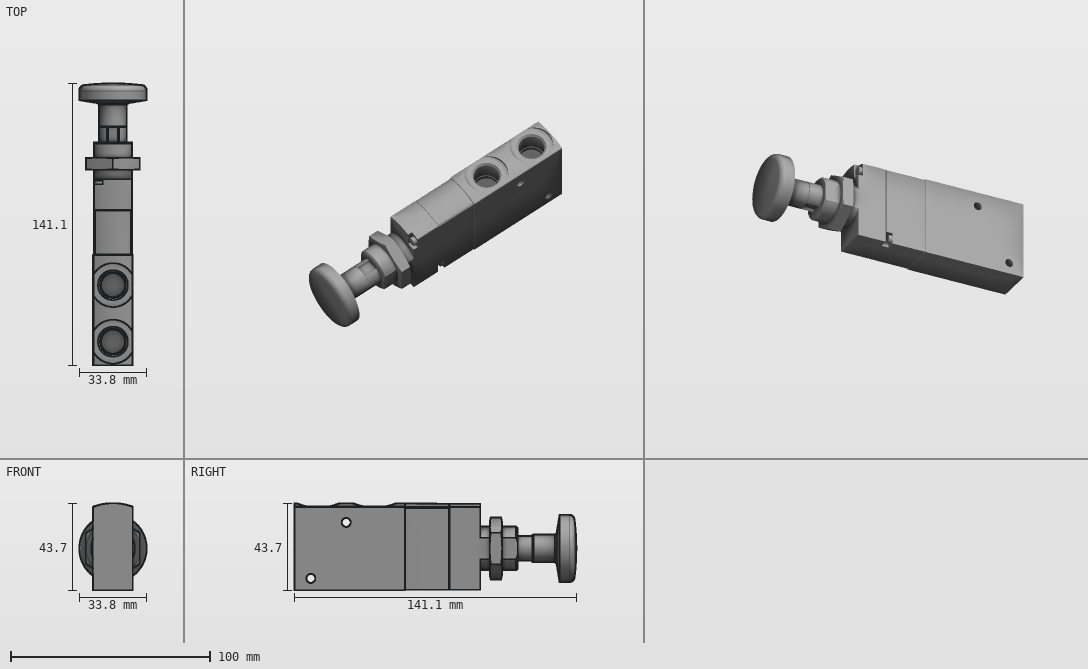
import cadquery as cq
import math


body_length = 55.45
adapter_end = 77.3
cap_end = 93.0
nut_start = 97.7
bushing_end = 111.6
knob_start = 119.0
neck_flare_start = 130.3
rim_start = 132.6
knob_end = 141.09

body_width = 20.0
body_bottom = -21.0
body_shoulder = 21.0
crown_rise = 1.72
body_crown = body_shoulder + crown_rise
port_positions = [11.8, 40.1]
port_diameter = 13.0
port_bottom_diameter = 12.02
port_step_depth = 10.0
port_mouth_diameter = 15.0
port_depth = 12.0
spotface_diameter = 22.0
mount_hole_diameter = 4.4
mount_holes = [(8.2, -15.0), (25.9, 13.0)]

cap_width = 19.15
cap_bottom = -20.75
cap_shoulder = 20.9
cap_crown = 22.4
bushing_diameter = 22.0
bushing_chamfer = 0.8
adapter_edge_chamfer = 0.7
adapter_near_width = 19.3

shoulder_chamfer = 0.3
joint_chamfer = 0.4

nut_width = 27.0
nut_thickness = 6.15
nut_bevel_diameter = 26.8
nut_bevel_angle = 12.0
nut_corner_angle = 30.0

stem_diameter = 14.0
stem_tail = 5.0
slot_mouth_width = 6.4
slot_floor_width = 4.8
slot_floor_height = 5.0

knob_diameter = 33.84
knob_neck_diameter = stem_diameter
dome_rise = 1.25
dome_fillet = 2.8
underside_rise = 1.5
neck_flare = 0.8
knob_end_taper_length = 0.6
knob_end_taper_depth = 0.2

notch_wall = 5.0
cap_notch_length = 2.5
cap_notch_floor = 13.9
adapter_notch_length = 3.6
adapter_notch_roof = -14.9
screw_head_diameter = 4.4
screw_head_height = 1.9
screw_x = -notch_wall - screw_head_diameter / 2
screw_height = 17.4


def crowned_section(y, width, bottom, shoulder, crown, chamfer):
    """Upright XZ section at the given Y, with an arched top and chamfered shoulders."""
    half = width / 2
    section = cq.Workplane("XZ", origin=(0, y, 0)).moveTo(-half, bottom).lineTo(half, bottom)
    section = section.lineTo(half, shoulder - chamfer)
    section = section.lineTo(half - chamfer, shoulder)
    section = section.threePointArc((0, crown), (chamfer - half, shoulder))
    return section.lineTo(-half, shoulder - chamfer).close()


def rod(diameter, start, end, x=0.0, z=0.0):
    """Cylinder along Y between two stations."""
    return cq.Workplane("XZ", origin=(x, start, z)).circle(diameter / 2).extrude(start - end)


def block(x_range, y_range, z_range):
    """Axis-aligned box given by its limits."""
    corner = (x_range[0], y_range[0], z_range[0])
    sizes = [high - low for low, high in (x_range, y_range, z_range)]
    return cq.Workplane("XY").box(*sizes, centered=False).translate(corner)


def make_body():
    section = crowned_section(
        0, body_width, body_bottom, body_shoulder, body_crown, shoulder_chamfer
    )
    body = section.extrude(-body_length).faces(">Y").chamfer(joint_chamfer)
    mouth_chamfer = (port_mouth_diameter - port_diameter) / 2
    for y in port_positions:
        floor = cq.Workplane("XY", origin=(0, y, body_shoulder))
        body = body.cut(floor.circle(spotface_diameter / 2).extrude(2 * crown_rise))
        body = body.cut(floor.circle(port_diameter / 2).extrude(-port_step_depth))
        body = body.cut(floor.circle(port_bottom_diameter / 2).extrude(-port_depth))
        mouth = floor.circle(port_mouth_diameter / 2).workplane(offset=-mouth_chamfer)
        body = body.cut(mouth.circle(port_diameter / 2).loft(combine=True))
    for y, z in mount_holes:
        hole = cq.Workplane("YZ", origin=(0, y, z)).circle(mount_hole_diameter / 2)
        body = body.cut(hole.extrude(body_width, both=True))
    return body


def make_adapter():
    near = crowned_section(
        body_length, adapter_near_width, cap_bottom, cap_shoulder, body_crown, adapter_edge_chamfer
    ).wire().val()
    far = crowned_section(
        adapter_end, cap_width, cap_bottom, cap_shoulder, cap_crown, adapter_edge_chamfer
    ).wire().val()
    adapter = cq.Workplane(obj=cq.Solid.makeLoft([near, far], True))
    notch = block(
        (-body_width, -notch_wall),
        (adapter_end - adapter_notch_length, adapter_end),
        (2 * body_bottom, adapter_notch_roof),
    )
    return adapter.cut(notch)


def make_cap():
    section = crowned_section(
        adapter_end, cap_width, cap_bottom, cap_shoulder, cap_crown, shoulder_chamfer
    )
    cap = section.extrude(adapter_end - cap_end).faces("<Y").chamfer(joint_chamfer)
    bushing = rod(bushing_diameter, cap_end, bushing_end).faces(">Y").chamfer(bushing_chamfer)
    half = cap_width / 2
    flats = block((-half, half), (cap_end, bushing_end), (-bushing_diameter, bushing_diameter))
    cap = cap.union(bushing.intersect(flats)).clean()
    notch = block(
        (-cap_width, -notch_wall),
        (cap_end - cap_notch_length, cap_end),
        (cap_notch_floor, 2 * cap_crown),
    )
    return cap.cut(notch).cut(rod(stem_diameter, bushing_end - stem_tail, bushing_end))


def make_nut():
    corner_radius = nut_width / math.sqrt(3)
    bevel_radius = nut_bevel_diameter / 2
    bevel_drop = (corner_radius - bevel_radius) * math.tan(math.radians(nut_bevel_angle))
    nut_end = nut_start + nut_thickness
    hexagon = cq.Workplane("XZ", origin=(0, nut_start, 0)).polygon(6, 2 * corner_radius)
    nut = hexagon.extrude(-nut_thickness).rotate((0, 0, 0), (0, 1, 0), nut_corner_angle)
    envelope = (
        cq.Workplane("XY")
        .moveTo(0, nut_start)
        .lineTo(bevel_radius, nut_start)
        .lineTo(corner_radius, nut_start + bevel_drop)
        .lineTo(corner_radius, nut_end - bevel_drop)
        .lineTo(bevel_radius, nut_end)
        .lineTo(0, nut_end)
        .close()
        .revolve(360, (0, 0, 0), (0, 1, 0))
    )
    return nut.intersect(envelope).cut(rod(bushing_diameter, nut_start, nut_end))


def make_stem():
    stem_start = bushing_end - stem_tail
    stem = rod(stem_diameter, stem_start, knob_start)
    half_floor = slot_floor_width / 2
    half_mouth = slot_mouth_width / 2
    radius = stem_diameter / 2
    mouth_height = math.sqrt(radius ** 2 - half_mouth ** 2)
    for side in (1, -1):
        slot = cq.Workplane("XZ", origin=(0, bushing_end, 0)).polyline([
            (-half_floor, side * slot_floor_height),
            (half_floor, side * slot_floor_height),
            (half_mouth, side * mouth_height),
            (half_mouth, side * radius),
            (-half_mouth, side * radius),
            (-half_mouth, side * mouth_height),
        ]).close()
        stem = stem.cut(slot.extrude(bushing_end - knob_start))
    return stem


def make_knob():
    rim = knob_diameter / 2
    neck = knob_neck_diameter / 2
    flare = neck + neck_flare
    dome_edge = knob_end - dome_rise
    dome_middle = knob_end - dome_rise / 4
    knob = (
        cq.Workplane("XY")
        .moveTo(0, knob_start)
        .lineTo(neck - knob_end_taper_depth, knob_start)
        .lineTo(neck, knob_start + knob_end_taper_length)
        .lineTo(neck, neck_flare_start)
        .lineTo(flare, rim_start - underside_rise)
        .lineTo(rim, rim_start)
        .lineTo(rim, dome_edge)
        .threePointArc((rim / 2, dome_middle), (0, knob_end))
        .close()
        .revolve(360, (0, 0, 0), (0, 1, 0))
    )
    rim_margin = 0.1
    rim_edge = cq.selectors.BoxSelector(
        (-knob_diameter, dome_edge - rim_margin, -knob_diameter),
        (knob_diameter, dome_edge + rim_margin, knob_diameter),
    )
    return knob.edges(rim_edge).fillet(dome_fillet)


def make_screw(seat, z):
    return rod(screw_head_diameter, seat, seat + screw_head_height, screw_x, z)


body = make_body()
adapter = make_adapter()
cap = make_cap()
nut = make_nut()
stem = make_stem()
knob = make_knob()
screw_seats = [
    (cap_end - cap_notch_length, screw_height),
    (adapter_end - adapter_notch_length, -screw_height),
]
screws = [make_screw(seat, z) for seat, z in screw_seats]

result = cq.Compound.makeCompound(
    [part.val() for part in (body, adapter, cap, nut, stem, knob, *screws)]
)